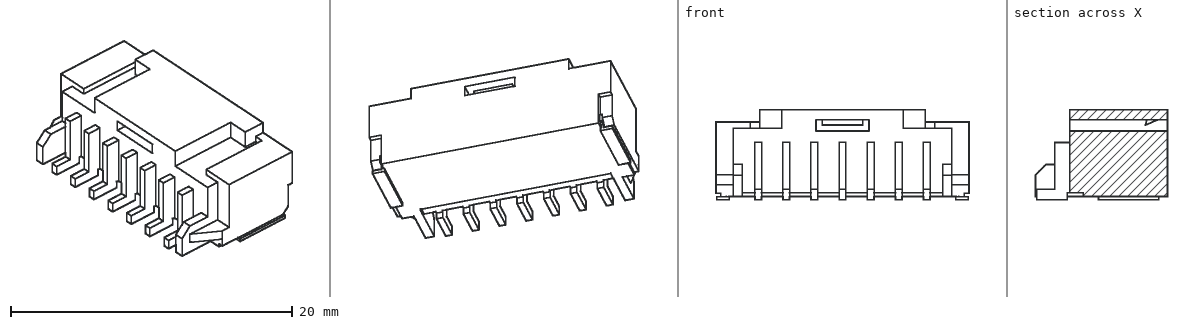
import cadquery as cq


width = 18.0
height = 6.4
housing_bottom = 0.23
wall_depth = 6.97
wall_bottom = 0.5
core_width = 15.55
shelf_height = 5.1

crown_width = 8.64
crown_head_width = 11.77
crown_head_depth = 1.71

side_height = 5.55
side_depth = 6.01
side_inner_gap = 13.1
roof_gap_start = 0.72
side_lower_depth = 6.68
side_lower_height = 1.8
skirt_bottom = 0.47

skirt_half = 8.65
relief_half = 8.1
relief_depth = 5.13
relief_front_depth = 0.38
relief_front_height = 2.79
relief_corner = 0.49

leg_thickness = 0.67
leg_depth = 9.4
leg_height = 2.52
leg_chamfer = 0.75
gusset_bottom = 1.08
gusset_depth = leg_depth - leg_chamfer

window_width = 3.75
window_bottom = 4.9
window_top = 5.69
latch_width = 2.88
latch_drop = 0.38
latch_start = 0.72
latch_end = 1.48
latch_undercut = 0.1

pin_count = 7
pin_pitch = 2.0
pin_width = 0.49
pin_top = 4.09
pin_back_depth = 7.13
pin_front_depth = 8.03
foot_height = 0.74
foot_depth = 9.3

tab_inner = 8.05
tab_outer = 8.95
tab_start = 0.61
tab_end = 4.91
tab_plate_half = 8.28
ear_start = 0.27
ear_bottom = 0.61
ear_top = 1.17
ear_bevel_start = 0.38
ear_bevel_bottom = 0.47


def block(x_range, depth_range, z_range):
    """Box between two X values, two depths behind the mating face and two heights."""
    x0, x1 = x_range
    d0, d1 = depth_range
    z0, z1 = z_range
    return cq.Workplane("XY").box(x1 - x0, d1 - d0, z1 - z0, centered=False).translate((x0, -d1, z0))


def centred_block(total_width, depth_range, z_range):
    """Box centred on X = 0."""
    return block((-total_width / 2, total_width / 2), depth_range, z_range)


def side_profile(points, x_start, thickness):
    """Extrude an outline of (depth, height) points along +X from x_start."""
    outline = [(-depth, z) for depth, z in points]
    return cq.Workplane("YZ").workplane(offset=x_start).polyline(outline).close().extrude(thickness)


def make_core():
    """Housing centre with its raised crown and the step under the rear wall."""
    core = centred_block(core_width, (0, wall_depth), (housing_bottom, shelf_height))
    crown = centred_block(crown_width, (0, wall_depth), (shelf_height, height))
    crown_head = centred_block(crown_head_width, (0, crown_head_depth), (shelf_height, height))
    leg_gap = core_width - 2 * leg_thickness
    wall_step = centred_block(leg_gap, (side_depth, wall_depth), (housing_bottom, wall_bottom))
    return core.cut(wall_step).union(crown).union(crown_head)


def make_side():
    """Side block at +X: roof, lower rear extension, outer relief and skirt."""
    outer = width / 2
    inner = side_inner_gap / 2
    leg_inner = core_width / 2 - leg_thickness
    crown_edge = crown_head_width / 2
    upper = block((inner, outer), (0, side_depth), (housing_bottom, side_height))
    roof_link = block((crown_edge, inner), (0, roof_gap_start), (shelf_height, side_height))
    lower = block((leg_inner, outer), (0, side_lower_depth), (housing_bottom, side_lower_height))
    relief = side_profile(
        [
            (0, housing_bottom),
            (relief_depth, housing_bottom),
            (relief_depth, skirt_bottom),
            (relief_front_depth + relief_corner, skirt_bottom),
            (relief_front_depth, skirt_bottom + relief_corner),
            (relief_front_depth, relief_front_height),
            (0, relief_front_height),
        ],
        relief_half,
        outer - relief_half,
    )
    rear_step = block((skirt_half, outer), (relief_depth, side_lower_depth), (housing_bottom, skirt_bottom))
    return upper.union(roof_link).union(lower).cut(relief).cut(rear_step)


def make_leg():
    """Chamfered board leg at +X with the sloping gusset that braces it."""
    leg_outer = core_width / 2
    leg = side_profile(
        [
            (side_depth, housing_bottom),
            (leg_depth, housing_bottom),
            (leg_depth, leg_height - leg_chamfer),
            (leg_depth - leg_chamfer, leg_height),
            (side_depth, leg_height),
        ],
        leg_outer - leg_thickness,
        leg_thickness,
    )
    gusset = (
        cq.Workplane("XY")
        .workplane(offset=gusset_bottom)
        .moveTo(leg_outer, -side_depth)
        .lineTo(width / 2, -side_depth)
        .lineTo(width / 2, -side_lower_depth)
        .lineTo(leg_outer, -gusset_depth)
        .close()
        .extrude(side_lower_height - gusset_bottom)
    )
    return leg.union(gusset)


def make_solder_tab():
    """Solder tab at +X: flat foot, upright plate and a small ear with a bevelled lip."""
    foot = block((tab_inner, tab_outer), (tab_start, tab_end), (0, housing_bottom))
    plate = block((tab_inner, tab_plate_half), (tab_start, tab_end), (0, ear_top))
    ear = block((tab_inner, tab_plate_half), (ear_start, tab_start), (ear_bottom, ear_top))
    bevel = (
        cq.Workplane("XZ")
        .workplane(offset=ear_bevel_start)
        .moveTo(tab_inner, ear_bevel_bottom)
        .lineTo(relief_half, ear_bevel_bottom)
        .lineTo(tab_plate_half, ear_bottom)
        .lineTo(tab_inner, ear_bottom)
        .close()
        .extrude(tab_start - ear_bevel_start)
    )
    return foot.union(plate).union(ear).union(bevel)


def make_pin(x_centre):
    """L-shaped pin: upright against the rear wall, foot pointing away from it."""
    return side_profile(
        [
            (wall_depth, pin_top),
            (pin_front_depth, pin_top),
            (pin_front_depth, foot_height),
            (foot_depth, foot_height),
            (foot_depth, 0),
            (pin_back_depth, 0),
            (pin_back_depth, wall_bottom),
            (wall_depth, wall_bottom),
        ],
        x_centre - pin_width / 2,
        pin_width,
    )


def make_latch():
    """Wedge under the window ceiling, ramped in front and undercut behind."""
    return side_profile(
        [
            (latch_start, window_top),
            (latch_end, window_top),
            (latch_end + latch_undercut, window_top - latch_drop),
        ],
        -latch_width / 2,
        latch_width,
    )


window = centred_block(window_width, (0, wall_depth), (window_bottom, window_top))
result = make_core().cut(window).union(make_latch())

right_end = make_side().union(make_leg()).union(make_solder_tab())
result = result.union(right_end).union(right_end.mirror("YZ"))

for index in range(pin_count):
    result = result.union(make_pin((index - (pin_count - 1) / 2) * pin_pitch))